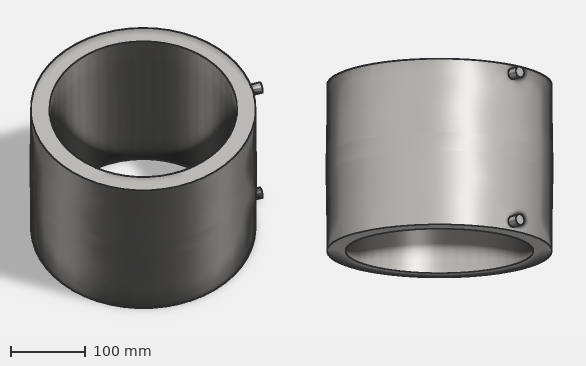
import cadquery as cq

height = 228.0
band_height = 25.0
band_radius = 151.2
end_radius = 150.3
bore_radius = 125.5

pin_radius = 7.3
pin_reach = 165.8
pin_inset = 12.5
pin_root = 139.5

half_height = height / 2
half_band = band_height / 2


def make_sleeve():
    """Revolve the wall section around Z, centred on the origin."""
    return (
        cq.Workplane("XZ")
        .moveTo(bore_radius, -half_height)
        .lineTo(end_radius, -half_height)
        .lineTo(band_radius, -half_band)
        .lineTo(band_radius, half_band)
        .lineTo(end_radius, half_height)
        .lineTo(bore_radius, half_height)
        .close()
        .revolve(360, (0, 0, 0), (0, 1, 0))
    )


def make_pin(z):
    """Round pin along +Y, rooted inside the wall."""
    return (
        cq.Workplane("XZ", origin=(0, pin_root, z))
        .circle(pin_radius)
        .extrude(pin_root - pin_reach)
    )


result = make_sleeve()
pin_height = half_height - pin_inset
for z in (-pin_height, pin_height):
    result = result.union(make_pin(z))